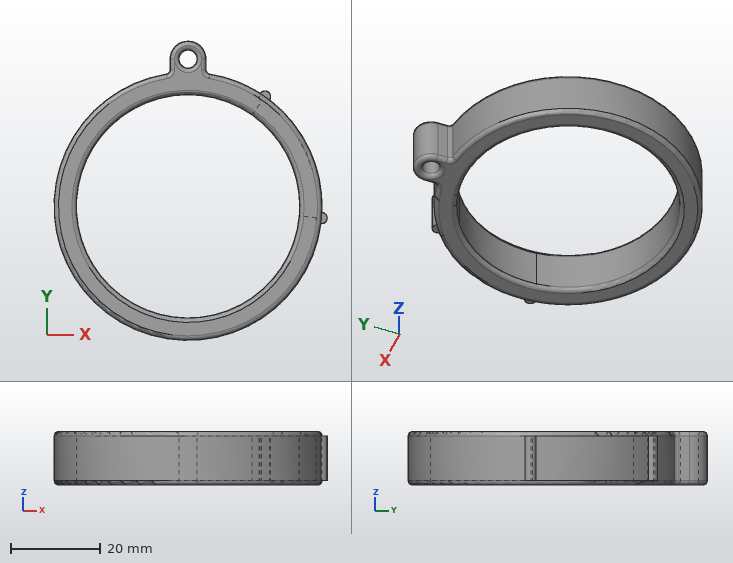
import cadquery as cq
import math

TOTAL_LENGTH = 67.0

RING_RADIUS = 30.0
BORE_RADIUS = 25.0
HEIGHT = 12.0
EDGE_ROUND = 1.0

EYELET_RADIUS = 4.0
EYELET_HOLE_DIAMETER = 4.0
NECK_FILLET = 1.0
EYELET_Y = TOTAL_LENGTH - RING_RADIUS - EYELET_RADIUS

PANEL_START_ANGLE = -5.0
PANEL_SPAN = 60.0
BEAD_RADIUS = 1.3
PANEL_BOTTOM = EDGE_ROUND
PANEL_HEIGHT = HEIGHT - 2 * EDGE_ROUND


def polar(radius, angle):
    """Point at a radius and an angle in degrees, measured from +X."""
    return (radius * math.cos(math.radians(angle)), radius * math.sin(math.radians(angle)))


def make_outer_form():
    """Ring disc and eyelet lug, blended at the neck and rounded along every outer edge."""
    disc = cq.Workplane("XY").circle(RING_RADIUS).extrude(HEIGHT)
    lug_round = cq.Workplane("XY").center(0, EYELET_Y).circle(EYELET_RADIUS).extrude(HEIGHT)
    neck = (
        cq.Workplane("XY")
        .center(0, EYELET_Y / 2)
        .rect(2 * EYELET_RADIUS, EYELET_Y)
        .extrude(HEIGHT)
    )
    neck_y = math.sqrt(RING_RADIUS**2 - EYELET_RADIUS**2)
    form = disc.union(neck).union(lug_round)
    for side in (-1, 1):
        corner = (side * EYELET_RADIUS, neck_y, HEIGHT / 2)
        form = form.edges(cq.selectors.NearestToPointSelector(corner)).fillet(NECK_FILLET)
    return form.faces("<Z or >Z").edges().fillet(EDGE_ROUND)


def make_rounded_hole_cutter(radius):
    """Solid of a through hole whose two rims flare out with a quarter round."""
    flare_radius = radius + EDGE_ROUND
    arc_offset = EDGE_ROUND * (1 - math.sqrt(0.5))
    return (
        cq.Workplane("XZ")
        .moveTo(0, 0)
        .lineTo(flare_radius, 0)
        .threePointArc((radius + arc_offset, arc_offset), (radius, EDGE_ROUND))
        .lineTo(radius, HEIGHT - EDGE_ROUND)
        .threePointArc((radius + arc_offset, HEIGHT - arc_offset), (flare_radius, HEIGHT))
        .lineTo(0, HEIGHT)
        .close()
        .revolve(360, (0, 0, 0), (0, 1, 0))
    )


def make_panel():
    """Curved panel as thick as the ring wall, with a round bead along each end."""
    end_angle = PANEL_START_ANGLE + PANEL_SPAN
    middle_angle = PANEL_START_ANGLE + PANEL_SPAN / 2
    panel = (
        cq.Workplane("XY", origin=(0, 0, PANEL_BOTTOM))
        .moveTo(*polar(BORE_RADIUS, PANEL_START_ANGLE))
        .lineTo(*polar(RING_RADIUS, PANEL_START_ANGLE))
        .threePointArc(polar(RING_RADIUS, middle_angle), polar(RING_RADIUS, end_angle))
        .lineTo(*polar(BORE_RADIUS, end_angle))
        .threePointArc(polar(BORE_RADIUS, middle_angle), polar(BORE_RADIUS, PANEL_START_ANGLE))
        .close()
        .extrude(PANEL_HEIGHT)
    )
    for angle in (PANEL_START_ANGLE, end_angle):
        bead = (
            cq.Workplane("XY", origin=(0, 0, PANEL_BOTTOM))
            .center(*polar(RING_RADIUS, angle))
            .circle(BEAD_RADIUS)
            .extrude(PANEL_HEIGHT)
        )
        panel = panel.union(bead)
    return panel.solids()


def make_ring(panel):
    """Ring with its bore, its eyelet hole and the window that holds the panel."""
    bore = make_rounded_hole_cutter(BORE_RADIUS)
    eyelet_hole = make_rounded_hole_cutter(EYELET_HOLE_DIAMETER / 2)
    eyelet_hole = eyelet_hole.translate((0, EYELET_Y, 0))
    return make_outer_form().cut(bore).cut(eyelet_hole).cut(panel).solids()


panel = make_panel()
ring = make_ring(panel)

result = cq.Compound.makeCompound([ring.val(), panel.val()])